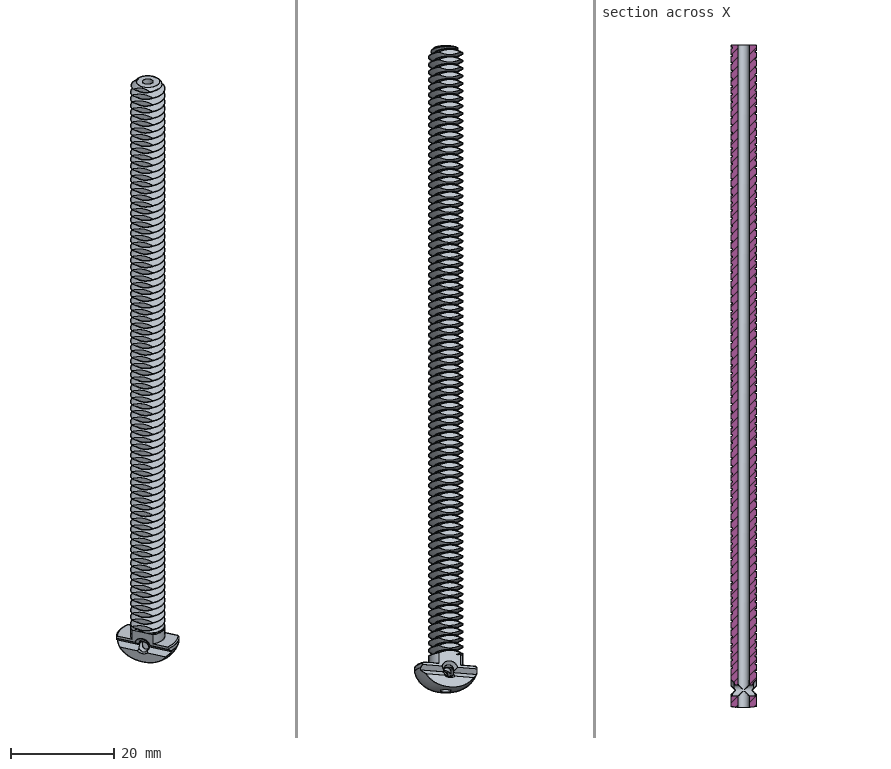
import cadquery as cq
import math

total_height = 128.7
flat_width = 5.0
bore_diameter = 2.0

head_diameter = 12.2
head_radius = head_diameter / 2
head_height = 4.8
dome_height = 3.7
underside_radius = bore_diameter / 2
rim_chamfer = 0.3

cross_hole_height = 3.3
groove_depth = 0.9
relief_height = 3.7
relief_radius = 1.7
relief_depth = relief_radius - bore_diameter / 2

neck_top = 6.8
thread_radius = 3.3
root_radius = 2.2
crest_width = 0.06
ridge_overlap = 0.06
ridge_angle = 45.0
thread_turns = 81
spare_turns = 3
block_count = 9
pitch = (total_height - neck_top) / thread_turns
block_height = (total_height - neck_top) / block_count
flank_angle = 30.0
tip_chamfer = 1.0

sewing_tolerance = 0.001
level_limit = 0.5


def make_head():
    """Round head with a domed underside that starts level at the bore."""
    rise_radius = head_radius - underside_radius
    dome_radius = (rise_radius**2 + dome_height**2) / (2 * dome_height)
    half_sweep = math.asin(rise_radius / dome_radius) / 2
    dome_middle = (
        underside_radius + dome_radius * math.sin(half_sweep),
        dome_radius * (1 - math.cos(half_sweep)),
    )
    return (
        cq.Workplane("XZ")
        .moveTo(0, 0)
        .lineTo(underside_radius, 0)
        .threePointArc(dome_middle, (head_radius, dome_height))
        .lineTo(head_radius, head_height - rim_chamfer)
        .lineTo(head_radius - rim_chamfer, head_height)
        .lineTo(0, head_height)
        .close()
        .revolve(360, (0, 0), (0, 1))
    )


def make_neck():
    """Plain cylinder between the head and the thread."""
    return (
        cq.Workplane("XY", origin=(0, 0, head_height))
        .circle(thread_radius)
        .extrude(neck_top - head_height)
    )


def make_thread_block():
    """Short length of threaded rod standing on Z = 0, with flats and bore."""
    base_radius = root_radius - ridge_overlap
    crest_half = crest_width / 2
    base_half = crest_half + (thread_radius - base_radius) * math.tan(math.radians(flank_angle))
    start = -pitch * (1 + ridge_angle / 360)
    path = cq.Wire.makeHelix(pitch, block_height + spare_turns * pitch, root_radius)
    ridge = (
        cq.Workplane("XZ")
        .polyline(
            [
                (base_radius, -base_half),
                (thread_radius, -crest_half),
                (thread_radius, crest_half),
                (base_radius, base_half),
            ]
        )
        .close()
        .sweep(cq.Workplane(path), isFrenet=True)
        .translate((0, 0, start))
    )
    core = (
        cq.Workplane("XY", origin=(0, 0, start - pitch))
        .circle(root_radius)
        .extrude(block_height + (spare_turns + 2) * pitch)
    )
    rod = core.union(ridge, clean=False).intersect(make_slab(block_height), clean=False)
    return rod.cut(make_bore(block_height), clean=False)


def make_slab(height):
    """Block between the two flats."""
    return cq.Workplane("XY").rect(head_diameter, flat_width).extrude(height)


def make_bore(height):
    """Cylinder of the lengthwise bore."""
    return cq.Workplane("XY").circle(bore_diameter / 2).extrude(height)


def make_tip_cutter():
    """Ring that bevels the free end of the top thread block at 45 degrees."""
    return (
        cq.Workplane("XZ")
        .polyline(
            [
                (thread_radius - tip_chamfer, block_height),
                (thread_radius + tip_chamfer, block_height),
                (thread_radius + tip_chamfer, block_height - 2 * tip_chamfer),
            ]
        )
        .close()
        .revolve(360, (0, 0), (0, 1))
    )


def make_groove(side):
    """V groove along X in the flat on the given side of Y."""
    edge = side * flat_width / 2
    return (
        cq.Workplane("YZ", origin=(-head_radius, 0, 0))
        .polyline(
            [
                (edge, cross_hole_height - groove_depth),
                (edge - side * groove_depth, cross_hole_height),
                (edge, cross_hole_height + groove_depth),
            ]
        )
        .close()
        .extrude(head_diameter)
    )


def make_relief(side):
    """45 degree conical mouth, set slightly above the cross hole axis."""
    return cq.Workplane(
        cq.Solid.makeCone(
            relief_radius,
            bore_diameter / 2,
            relief_depth,
            cq.Vector(0, side * flat_width / 2, relief_height),
            cq.Vector(0, -side, 0),
        )
    )


def make_base():
    """Head and neck with the cross hole, grooves and bore."""
    cross_hole = (
        cq.Workplane("XZ", origin=(0, 0, cross_hole_height))
        .circle(bore_diameter / 2)
        .extrude(flat_width / 2, both=True)
    )
    base = make_head().union(make_neck()).intersect(make_slab(neck_top))
    base = base.cut(make_bore(neck_top)).cut(cross_hole)
    for side in (-1, 1):
        base = base.cut(make_groove(side)).cut(make_relief(side))
    return base


def sew_stack(pieces, joint_heights):
    """Join stacked pieces into one solid by dropping the faces inside each joint."""
    outer_faces = []
    for piece in pieces:
        for face in piece.faces().vals():
            level = face.geomType() == "PLANE" and abs(face.normalAt().z) > level_limit
            height = face.Center().z
            at_joint = any(abs(height - joint) < sewing_tolerance for joint in joint_heights)
            if not (level and at_joint):
                outer_faces.append(face)
    return cq.Solid.makeSolid(cq.occ_impl.shapes.shell(*outer_faces, tol=sewing_tolerance))


block = make_thread_block()
first_block = block.translate((0, 0, neck_top))
tip_block = block.cut(make_tip_cutter(), clean=False).translate((0, 0, total_height - block_height))
middle_blocks = [block.translate((0, 0, neck_top + i * block_height)) for i in range(1, block_count - 1)]
joint_heights = [neck_top + i * block_height for i in range(1, block_count)]
foot = make_base().union(first_block, clean=False)
result = cq.Workplane(sew_stack([foot] + middle_blocks + [tip_block], joint_heights))